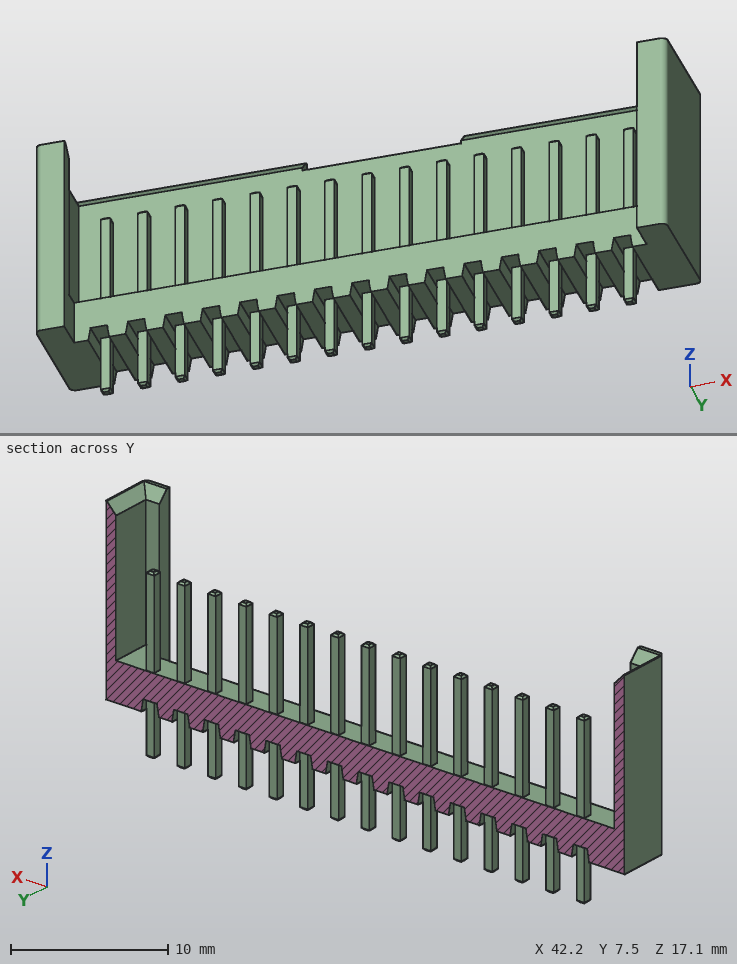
import cadquery as cq

LENGTH = 42.2
WIDTH = 7.5
HEIGHT = 14.0
CORNER_RADIUS = 0.4
FLOOR_THICKNESS = 3.0
END_WALL = 0.85
BACK_WALL = 1.0
FRONT_WALL = 1.05

LEAD_IN_WIDTH = 0.75
LEAD_IN_HEIGHT = 0.8

OPENING_LENGTH = 38.3
OPENING_DEPTH = 2.05
NOTCH_LENGTH = 10.6
NOTCH_DEPTH = 1.0

PIN_COUNT = 15
PITCH = 2.5
PIN_SIZE = 0.64
PIN_TOP = 10.0
PIN_BOTTOM = -3.1
PIN_TIP_CHAMFER = 0.15

GROOVE_DEPTH = 0.9
GROOVE_TOP_WIDTH = 1.1
GROOVE_BOTTOM_WIDTH = 1.4

CAVITY_LENGTH = LENGTH - 2 * END_WALL
CAVITY_WIDTH = WIDTH - BACK_WALL - FRONT_WALL
CAVITY_CENTER_Y = (FRONT_WALL - BACK_WALL) / 2
PIN_POSITIONS = [(i - (PIN_COUNT - 1) / 2) * PITCH for i in range(PIN_COUNT)]


def make_shell():
    """Box with rounded vertical edges, before anything is removed."""
    return (
        cq.Workplane("XY")
        .box(LENGTH, WIDTH, HEIGHT, centered=(True, True, False))
        .edges("|Z")
        .fillet(CORNER_RADIUS)
    )


def make_cavity():
    """Space above the floor, widening at the mouth."""
    pocket = (
        cq.Workplane("XY", origin=(0, CAVITY_CENTER_Y, FLOOR_THICKNESS))
        .rect(CAVITY_LENGTH, CAVITY_WIDTH)
        .extrude(HEIGHT - FLOOR_THICKNESS)
    )
    lead_in = (
        cq.Workplane("XY", origin=(0, CAVITY_CENTER_Y, HEIGHT - LEAD_IN_HEIGHT))
        .rect(CAVITY_LENGTH, CAVITY_WIDTH)
        .workplane(offset=LEAD_IN_HEIGHT)
        .rect(CAVITY_LENGTH + 2 * LEAD_IN_WIDTH, CAVITY_WIDTH + 2 * LEAD_IN_WIDTH)
        .loft(ruled=True)
    )
    return pocket.union(lead_in)


def make_front_opening():
    """Full-height cut that leaves only a short arm at each end of the front."""
    return (
        cq.Workplane("XY", origin=(0, -WIDTH / 2, 0))
        .box(OPENING_LENGTH, OPENING_DEPTH, HEIGHT, centered=(True, False, False))
    )


def make_back_notch():
    """Shallow notch in the middle of the back wall's top edge."""
    return (
        cq.Workplane("XY", origin=(0, 0, HEIGHT - NOTCH_DEPTH))
        .box(NOTCH_LENGTH, WIDTH / 2, NOTCH_DEPTH, centered=(True, False, False))
    )


def make_groove(x):
    """Groove across the underside, wider at the bottom."""
    outline = [
        (x - GROOVE_BOTTOM_WIDTH / 2, 0),
        (x - GROOVE_TOP_WIDTH / 2, GROOVE_DEPTH),
        (x + GROOVE_TOP_WIDTH / 2, GROOVE_DEPTH),
        (x + GROOVE_BOTTOM_WIDTH / 2, 0),
    ]
    return cq.Workplane("XZ").polyline(outline).close().extrude(WIDTH / 2, both=True)


def make_pin(x):
    """Square pin with both tips chamfered."""
    return (
        cq.Workplane("XY", origin=(x, 0, PIN_BOTTOM))
        .rect(PIN_SIZE, PIN_SIZE)
        .extrude(PIN_TOP - PIN_BOTTOM)
        .faces("<Z or >Z")
        .chamfer(PIN_TIP_CHAMFER)
    )


housing = make_shell().cut(make_cavity()).cut(make_front_opening()).cut(make_back_notch())
for pin_x in PIN_POSITIONS:
    housing = housing.cut(make_groove(pin_x))

result = housing
for pin_x in PIN_POSITIONS:
    result = result.union(make_pin(pin_x))